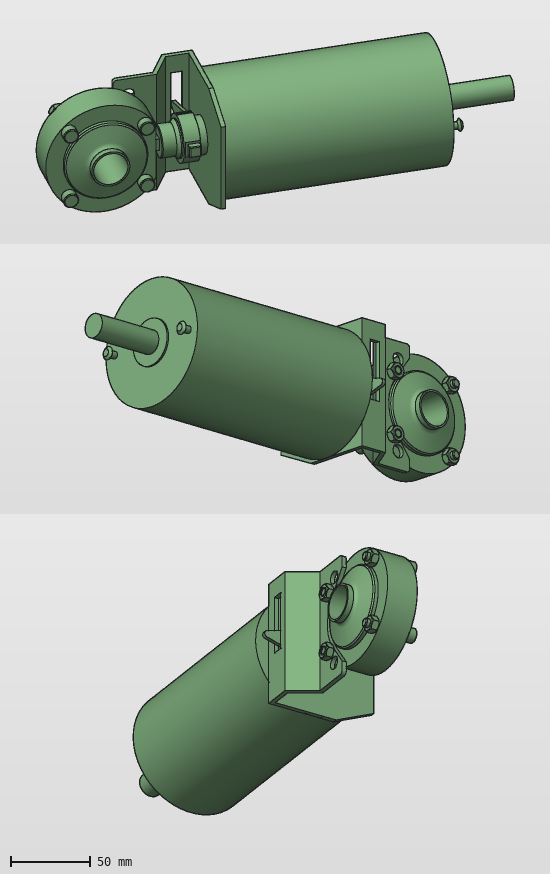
import cadquery as cq
import math


total_length = 308.3
valve_radius = 38.8
body_diameter = 85.0

valve_thickness = 22.0
valve_flat_y = 33.3
stem_width = 8.3
bore_diameter = 22.5
pipe_radius = 25.0 / 2
pipe_end_x = 24.0
neck_end_x = 20.0
neck_root_radius = 30.0 / 2
neck_root_x = 17.5
rim_radius = 55.0 / 2
rim_height = 2.5
rim_chamfer = 1.0
valve_face_x = valve_thickness / 2

bolt_circle_radius = 33.5
bracket_bolt_z = 21.0
bracket_bolt_y = math.sqrt(bolt_circle_radius ** 2 - bracket_bolt_z ** 2)
outer_bolt_z = bolt_circle_radius / math.sqrt(2)
outer_bolt_y = -outer_bolt_z
bolt_diameter = 6.0
bolt_end_x = -19.0
bolt_end_chamfer = 0.5
bolt_head_diameter = 10.0
bolt_head_height = 6.2
bolt_head_chamfer = 0.5
nut_width = 10.0
nut_height = 5.2
nut_chamfer = 1.0
nut_sides = 6
nut_corner_diameter = nut_width / math.cos(math.pi / nut_sides)

body_bottom_y = 70.0
body_top_y = 219.8
rod_diameter = 16.0
rod_end_y = total_length - valve_radius
cap_diameter = 31.5
cap_height = 1.2
neck_diameter = 25.5
collar_diameter = 32.0
collar_top_y = 61.5
collar_bottom_y = 50.5
step_diameter = 26.0
step_height = 1.0
cone_bottom_y = 47.2
hub_diameter = 22.0
hub_bottom_y = 37.5
hub_chamfer = 0.5
screw_offset = 34.2
screw_diameter = 5.0
screw_head_diameter = 8.5
screw_neck_height = 4.3
screw_head_height = 3.5
slit_width = 2.0
slit_offset = 3.5
slit_depth = 1.5
slit_end_gap = 1.0
pointer_thickness = 2.5
pointer_reach = body_diameter / 2
pointer_tip_radius = 2.5
pointer_root_width = 19.7
pointer_root_x = -14.2
knob_width = 7.7
knob_end_x = 19.5
knob_y = 57.0
knob_chamfer = 0.5
knob_seat_x = 15.0

sheet = 3.0
bracket_height = body_diameter
leg_outer_x = -33.0
upper_bend_y = 50.0
lower_bend_y = 38.5
tab_end_y = 11.7
plate_corner_x = 14.8
plate_end_height = 60.5
window_bottom_y = 55.2
window_top_y = 63.0
window_bottom_z = -10.0
window_top_z = 30.0
relief_radius = 29.5
relief_corner_z = 33.5
tab_corner_radius = 2.5
spare_hole_diameter = 8.5
spare_hole_y = 21.5
spare_hole_z = 30.5

bolt_places = [(bracket_bolt_y, side * bracket_bolt_z, sheet) for side in (-1, 1)]
bolt_places += [(outer_bolt_y, side * outer_bolt_z, 0) for side in (-1, 1)]


def cylinder_y(diameter, start_y, end_y):
    """Round bar along Y."""
    start = cq.Vector(0, start_y, 0)
    return cq.Workplane(cq.Solid.makeCylinder(diameter / 2, end_y - start_y, start, cq.Vector(0, 1, 0)))


def cylinder_x(diameter, start_x, end_x, y=0, z=0):
    """Round bar along X."""
    start = cq.Vector(start_x, y, z)
    return cq.Workplane(cq.Solid.makeCylinder(diameter / 2, end_x - start_x, start, cq.Vector(1, 0, 0)))


def box_between(x0, x1, y0, y1, z0, z1):
    """Box between two opposite corners."""
    return cq.Workplane("XY").box(x1 - x0, y1 - y0, z1 - z0, centered=False).translate((x0, y0, z0))


def make_pipe_end():
    """Rim, cone, flared neck and pipe on the +X face of the valve."""
    rim_end_x = valve_face_x + rim_height
    return (
        cq.Workplane("XY")
        .moveTo(0, 0)
        .lineTo(0, rim_radius)
        .lineTo(rim_end_x, rim_radius)
        .lineTo(rim_end_x + rim_chamfer, rim_radius - rim_chamfer)
        .lineTo(neck_root_x, neck_root_radius)
        .tangentArcPoint((neck_end_x, pipe_radius), relative=False)
        .lineTo(pipe_end_x, pipe_radius)
        .lineTo(pipe_end_x, 0)
        .close()
        .revolve(360, (0, 0, 0), (1, 0, 0))
    )


def make_valve():
    """Round valve body with a flat and a square stem on top and a pipe end on each side."""
    valve = cylinder_x(2 * valve_radius, -valve_face_x, valve_face_x)
    above_flat = box_between(
        -valve_face_x, valve_face_x, valve_flat_y, valve_radius, -valve_radius, valve_radius
    )
    valve = valve.cut(above_flat)
    pipe_end = make_pipe_end()
    valve = valve.union(pipe_end).union(pipe_end.mirror("YZ"))
    half_stem = stem_width / 2
    valve = valve.union(box_between(-half_stem, half_stem, 0, hub_bottom_y, -half_stem, half_stem))
    valve = valve.cut(cylinder_x(bore_diameter, -pipe_end_x, pipe_end_x))
    for y, z, _ in bolt_places:
        valve = valve.cut(cylinder_x(bolt_diameter, -valve_face_x, valve_face_x, y, z))
    return valve


def make_bolt(y, z, grip_extra):
    """Cap screw along X with its nut, which sits grip_extra outside the valve face."""
    head_end_x = valve_face_x + bolt_head_height
    shank = cylinder_x(bolt_diameter, bolt_end_x, valve_face_x).faces("<X").chamfer(bolt_end_chamfer)
    head = cylinder_x(bolt_head_diameter, valve_face_x, head_end_x).faces(">X").chamfer(bolt_head_chamfer)
    nut_seat_x = -valve_face_x - grip_extra
    nut_end_x = nut_seat_x - nut_height
    nut = cq.Workplane("YZ", origin=(nut_end_x, 0, 0))
    nut = nut.polygon(nut_sides, nut_corner_diameter).extrude(nut_height)
    rounding = cylinder_x(nut_corner_diameter, nut_end_x, nut_seat_x).faces("<X or >X").chamfer(nut_chamfer)
    nut = nut.intersect(rounding).cut(cylinder_x(bolt_diameter, nut_end_x, nut_seat_x))
    return shank.union(head).union(nut).translate((0, y, z))


def make_bracket():
    """Bent sheet: plate under the actuator, side leg, sloped web and tab on the valve face."""
    leg_inner_x = leg_outer_x + sheet
    tab_inner_x = -valve_face_x
    tab_outer_x = tab_inner_x - sheet
    slope = math.atan2(upper_bend_y - lower_bend_y, tab_outer_x - leg_outer_x)
    bend_shift = sheet * math.tan((math.pi / 2 - slope) / 2)
    plate_end_x = body_diameter / 2
    plate_bottom_y = body_bottom_y - sheet
    half_height = bracket_height / 2
    profile = [
        (plate_end_x, body_bottom_y),
        (leg_outer_x, body_bottom_y),
        (leg_outer_x, upper_bend_y),
        (tab_outer_x, lower_bend_y),
        (tab_outer_x, tab_end_y),
        (tab_inner_x, tab_end_y),
        (tab_inner_x, lower_bend_y + bend_shift),
        (leg_inner_x, upper_bend_y + bend_shift),
        (leg_inner_x, plate_bottom_y),
        (plate_end_x, plate_bottom_y),
    ]
    bracket = cq.Workplane("XY").polyline(profile).close().extrude(half_height, both=True)

    for side in (-1, 1):
        corner = (
            cq.Workplane("XZ")
            .polyline([
                (plate_corner_x, side * half_height),
                (plate_end_x, side * half_height),
                (plate_end_x, side * plate_end_height / 2),
            ])
            .close()
            .extrude(-body_bottom_y)
        )
        bracket = bracket.cut(corner)
    bracket = bracket.cut(cylinder_y(neck_diameter, plate_bottom_y, body_bottom_y))

    bracket = bracket.cut(box_between(
        leg_outer_x, leg_inner_x, window_bottom_y, window_top_y, window_bottom_z, window_top_z
    ))

    bracket = bracket.edges("|X and <Y").edges("<Z or >Z").fillet(tab_corner_radius)
    corner_distance = math.hypot(tab_end_y, relief_corner_z)
    tangent_angle = math.atan2(relief_corner_z, tab_end_y) - math.acos(relief_radius / corner_distance)
    tangent_y = relief_radius * math.cos(tangent_angle)
    tangent_z = relief_radius * math.sin(tangent_angle)
    relief = (
        cq.Workplane("YZ", origin=(tab_outer_x, 0, 0))
        .moveTo(tab_end_y, relief_corner_z)
        .lineTo(tangent_y, tangent_z)
        .threePointArc((relief_radius, 0), (tangent_y, -tangent_z))
        .lineTo(tab_end_y, -relief_corner_z)
        .close()
        .extrude(sheet)
    )
    bracket = bracket.cut(relief)

    for side in (-1, 1):
        bolt_hole = cylinder_x(bolt_diameter, tab_outer_x, tab_inner_x, bracket_bolt_y, side * bracket_bolt_z)
        spare_hole = cylinder_x(
            spare_hole_diameter, tab_outer_x, tab_inner_x, spare_hole_y, side * spare_hole_z
        )
        bracket = bracket.cut(bolt_hole).cut(spare_hole)
    return bracket


def make_collar():
    """Neck, slotted collar and hub below the actuator body."""
    neck = cylinder_y(neck_diameter, collar_top_y, body_bottom_y)
    collar = cylinder_y(collar_diameter, collar_bottom_y, collar_top_y)
    collar_radius = collar_diameter / 2
    slit_bottom_y = collar_bottom_y + slit_end_gap
    slit = box_between(
        slit_offset - slit_width / 2, slit_offset + slit_width / 2,
        slit_bottom_y, collar_top_y,
        collar_radius - slit_depth, collar_radius,
    )
    top_slit = slit.mirror("YZ")
    left_slit = slit.rotate((0, 0, 0), (0, 1, 0), -90)
    collar = collar.cut(top_slit).cut(left_slit)
    knob_seat = box_between(
        knob_seat_x, collar_radius, slit_bottom_y, collar_top_y, -collar_radius, collar_radius
    )
    collar = collar.cut(knob_seat)
    cone_top_y = collar_bottom_y - step_height
    steps = cylinder_y(step_diameter, cone_top_y, collar_top_y + step_height)
    cone = cq.Workplane(cq.Solid.makeCone(
        hub_diameter / 2, step_diameter / 2, cone_top_y - cone_bottom_y,
        cq.Vector(0, cone_bottom_y, 0), cq.Vector(0, 1, 0),
    ))
    hub = cylinder_y(hub_diameter, hub_bottom_y, cone_bottom_y).faces("<Y").chamfer(hub_chamfer)
    return neck.union(steps).union(collar).union(cone).union(hub)


def make_pointer():
    """Flat position pointer, tapering from the collar to a round tip at -X."""
    tip_center_x = pointer_tip_radius - pointer_reach
    outline = (
        cq.Workplane("XZ", origin=(0, collar_top_y, 0))
        .moveTo(0, -pointer_root_width / 2)
        .lineTo(pointer_root_x, -pointer_root_width / 2)
        .lineTo(tip_center_x, -pointer_tip_radius)
        .threePointArc((-pointer_reach, 0), (tip_center_x, pointer_tip_radius))
        .lineTo(pointer_root_x, pointer_root_width / 2)
        .lineTo(0, pointer_root_width / 2)
        .close()
    )
    return outline.extrude(pointer_thickness)


def make_screw(x):
    """Screw with a double-cone head on the upper end of the actuator body."""
    head_bottom_y = body_top_y + screw_neck_height
    neck_radius = screw_diameter / 2
    half_head = screw_head_height / 2
    screw = (
        cq.Workplane("XY")
        .moveTo(0, body_top_y)
        .lineTo(neck_radius, body_top_y)
        .lineTo(neck_radius, head_bottom_y)
        .lineTo(screw_head_diameter / 2, head_bottom_y + half_head)
        .lineTo(neck_radius, head_bottom_y + screw_head_height)
        .lineTo(0, head_bottom_y + screw_head_height)
        .close()
        .revolve(360, (0, 0, 0), (0, 1, 0))
    )
    return screw.translate((x, 0, 0))


def make_actuator():
    """Actuator body with its rod, cap, end screws, slotted collar, pointer and knob."""
    actuator = cylinder_y(body_diameter, body_bottom_y, body_top_y)
    actuator = actuator.union(cylinder_y(cap_diameter, body_top_y, body_top_y + cap_height))
    actuator = actuator.union(cylinder_y(rod_diameter, body_top_y, rod_end_y))
    for side in (-1, 1):
        actuator = actuator.union(make_screw(side * screw_offset))
    half_knob = knob_width / 2
    knob = box_between(0, knob_end_x, knob_y - half_knob, knob_y + half_knob, -half_knob, half_knob)
    knob = knob.faces(">X").chamfer(knob_chamfer)
    return actuator.union(make_collar()).union(make_pointer()).union(knob)


valve = make_valve()
bracket = make_bracket()
actuator = make_actuator()
bolts = [make_bolt(y, z, grip_extra).val() for y, z, grip_extra in bolt_places]

result = cq.Compound.makeCompound([valve.val(), bracket.val(), actuator.val(), *bolts])